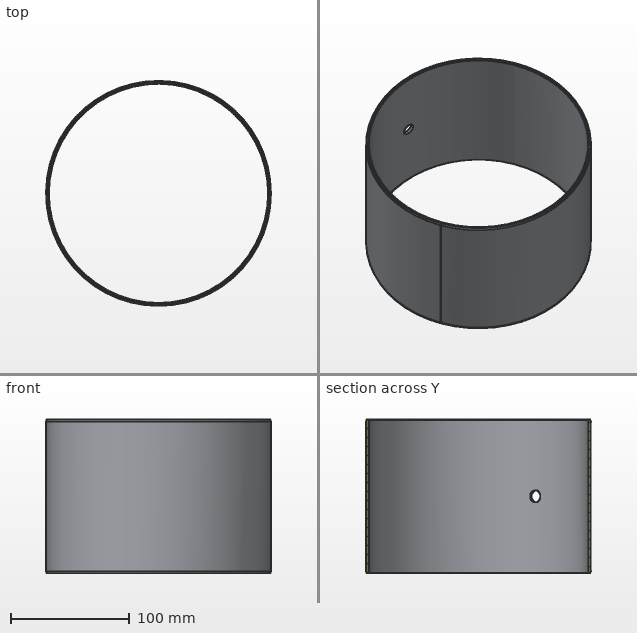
import cadquery as cq
outer_diameter = 190.0
height = 130.0
wall = 2.7

outer_bevel_height = 1.9
bevel_width = 0.66
inner_bevel_height = bevel_width

slit_width = 1.0
slit_center_y = 1.0

hole_diameter = 10.0
hole_angle = 58.8

outer_radius = outer_diameter / 2
inner_radius = outer_radius - wall


def make_sleeve():
    """Revolve the wall section, bevelled at all four corners, about Z."""
    rim_z = height / 2
    outer_bevel_z = rim_z - outer_bevel_height
    inner_bevel_z = rim_z - inner_bevel_height
    rim_inner = inner_radius + bevel_width
    rim_outer = outer_radius - bevel_width
    section = cq.Workplane("XZ").polyline([
        (rim_inner, -rim_z),
        (rim_outer, -rim_z),
        (outer_radius, -outer_bevel_z),
        (outer_radius, outer_bevel_z),
        (rim_outer, rim_z),
        (rim_inner, rim_z),
        (inner_radius, inner_bevel_z),
        (inner_radius, -inner_bevel_z),
    ]).close()
    return section.revolve(360, (0, 0, 0), (0, 1, 0))


def make_slit():
    """Thin box reaching from the axis out past the -X wall."""
    return (
        cq.Workplane("XY")
        .box(outer_diameter, slit_width, height)
        .translate((-outer_radius, slit_center_y, 0))
    )


def make_hole():
    """Cylinder running outward from the axis at the hole angle."""
    return (
        cq.Workplane("YZ")
        .circle(hole_diameter / 2)
        .extrude(outer_diameter)
        .rotate((0, 0, 0), (0, 0, 1), hole_angle)
    )


result = make_sleeve().cut(make_slit()).cut(make_hole())